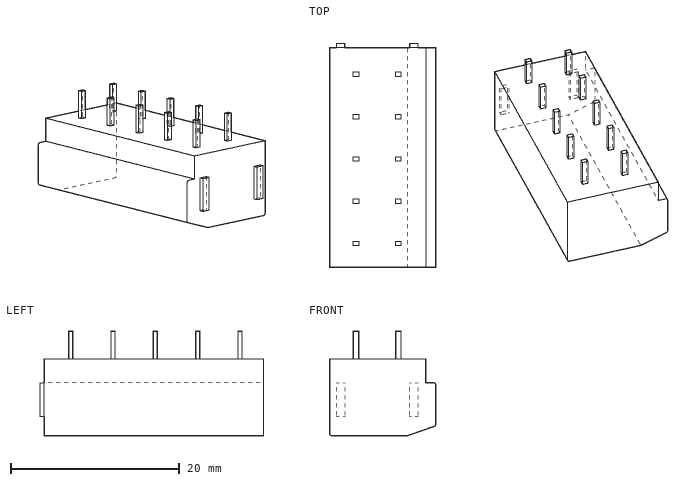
import cadquery as cq

TOTAL_LENGTH = 26.5
TOTAL_HEIGHT = 12.4
BODY_WIDTH = 12.6

TAB_THICKNESS = 0.5
TAB_WIDTH = 1.0
TAB_HEIGHT = 3.98
TAB_BOTTOM = 2.28
TAB_INSET = 0.8
TAB_SPACING = 8.7

PIN_WIDTH = 0.65
PIN_THICKNESS = 0.5
PIN_HEIGHT = 3.3
PIN_PITCH = 5.0
PIN_COLUMNS = 2
PIN_ROWS = 5
FIRST_PIN_X = 3.13
FIRST_PIN_Y = 2.8

STEP_WIDTH = 1.2
STEP_DEPTH = 2.8
SLOPE_WIDTH = 3.37
SLOPE_HEIGHT = 1.17
EDGE_RADIUS = 0.3

body_length = TOTAL_LENGTH - TAB_THICKNESS
body_height = TOTAL_HEIGHT - PIN_HEIGHT
step_z = body_height - STEP_DEPTH


def round_long_edge(solid, x, z):
    """Fillet the full-length edge that passes through (x, z)."""
    edge = cq.selectors.NearestToPointSelector((x, body_length / 2, z))
    return solid.edges("|Y").edges(edge).fillet(EDGE_RADIUS)


def make_body():
    """Stepped block with a sloped lower right side, running along Y from y = 0."""
    outline = [
        (0, 0),
        (BODY_WIDTH - SLOPE_WIDTH, 0),
        (BODY_WIDTH, SLOPE_HEIGHT),
        (BODY_WIDTH, step_z),
        (BODY_WIDTH - STEP_WIDTH, step_z),
        (BODY_WIDTH - STEP_WIDTH, body_height),
        (0, body_height),
    ]
    body = cq.Workplane("XZ").polyline(outline).close().extrude(-body_length)
    rounded_edges = [(0, 0), (BODY_WIDTH, SLOPE_HEIGHT), (BODY_WIDTH, step_z)]
    for x, z in rounded_edges:
        body = round_long_edge(body, x, z)
    return body


def make_pins():
    """Grid of rectangular pins standing on the top face."""
    centers = [
        (FIRST_PIN_X + column * PIN_PITCH, FIRST_PIN_Y + row * PIN_PITCH)
        for column in range(PIN_COLUMNS)
        for row in range(PIN_ROWS)
    ]
    top = cq.Workplane("XY", origin=(0, 0, body_height))
    return top.pushPoints(centers).rect(PIN_WIDTH, PIN_THICKNESS).extrude(PIN_HEIGHT)


def make_tab(left_x):
    """Flat upright tab on the rear face."""
    tab = cq.Workplane("XY").box(TAB_WIDTH, TAB_THICKNESS, TAB_HEIGHT, centered=False)
    return tab.translate((left_x, body_length, TAB_BOTTOM))


result = make_body().union(make_pins())
for tab_x in (TAB_INSET, TAB_INSET + TAB_SPACING):
    result = result.union(make_tab(tab_x))